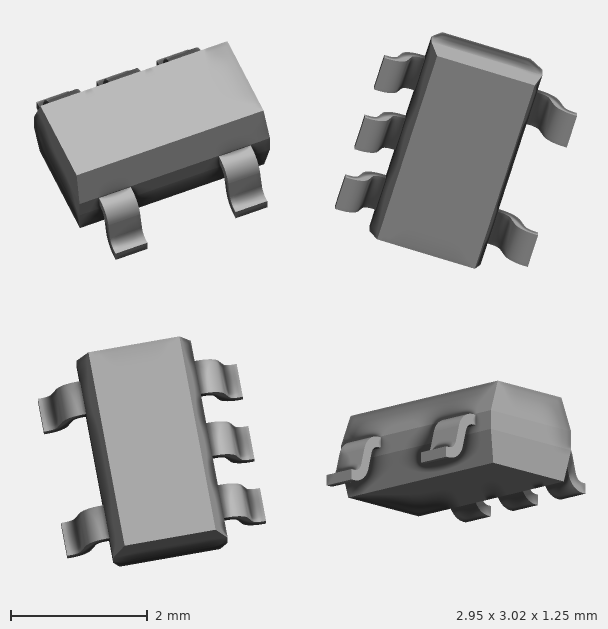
import cadquery as cq
import math

body_length = 3.02
body_width = 1.7
body_height = 1.25
base_height = 0.483
cap_height = 0.483
waist_height = body_height - base_height - cap_height
cap_inset_x = 0.175
cap_inset_y = 0.027
base_inset_x = 0.103
base_inset_y = 0.048

marker_diameter = 0.085
marker_depth = 0.03
marker_x = -0.47

overall_span = 2.95
lead_pitch = 0.95
lead_width = 0.505
lead_thickness = 0.157
lead_top = 0.752
inner_radius = 0.15
outer_radius = inner_radius + lead_thickness
bend_angle = 75.0
lead_places = [(-1, -1), (-1, 0), (-1, 1), (1, -1), (1, 1)]

lead_reach = (overall_span - body_width) / 2
lead_drop = lead_top - lead_thickness
middle_radius = (inner_radius + outer_radius) / 2
bend = math.radians(bend_angle)
bend_run = middle_radius * math.sin(bend)
bend_drop = middle_radius * (1 - math.cos(bend))
leg_drop = lead_drop - 2 * bend_drop
leg_run = leg_drop / math.tan(bend)
flat_length = (lead_reach - leg_run - 2 * bend_run) / 2


def tapered_block(z_start, height, start_size, end_size):
    """Solid that runs from one centred rectangle to another above it."""
    return (
        cq.Workplane("XY", origin=(0, 0, z_start))
        .rect(*start_size)
        .workplane(offset=height)
        .rect(*end_size)
        .loft(ruled=True)
    )


def make_marker():
    return (
        cq.Workplane("XY", origin=(marker_x, lead_pitch, body_height - marker_depth))
        .circle(marker_diameter / 2)
        .extrude(marker_depth)
    )


def make_housing():
    waist_size = (body_width, body_length)
    base_size = (body_width - 2 * base_inset_x, body_length - 2 * base_inset_y)
    cap_size = (body_width - 2 * cap_inset_x, body_length - 2 * cap_inset_y)
    base = tapered_block(0, base_height, base_size, waist_size)
    waist = tapered_block(base_height, waist_height, waist_size, waist_size)
    cap = tapered_block(base_height + waist_height, cap_height, waist_size, cap_size)
    return base.union(waist).union(cap).cut(make_marker())


def arc_point(center, radius, angle):
    return (center[0] + radius * math.sin(angle), center[1] + radius * math.cos(angle))


def make_lead(side, row):
    """S-shaped strip standing on z = 0; side is +1 or -1 along X."""
    wall_x = body_width / 2
    toe_x = overall_span / 2
    shoulder = (wall_x + flat_length, lead_top - outer_radius)
    foot = (toe_x - flat_length, outer_radius)
    turn_back = math.pi

    profile = (
        cq.Workplane("XZ", origin=(0, row * lead_pitch + lead_width / 2, 0))
        .moveTo(wall_x, lead_top)
        .lineTo(shoulder[0], lead_top)
        .threePointArc(arc_point(shoulder, outer_radius, bend / 2), arc_point(shoulder, outer_radius, bend))
        .lineTo(*arc_point(foot, inner_radius, bend + turn_back))
        .threePointArc(arc_point(foot, inner_radius, bend / 2 + turn_back), (foot[0], lead_thickness))
        .lineTo(toe_x, lead_thickness)
        .lineTo(toe_x, 0)
        .lineTo(foot[0], 0)
        .threePointArc(
            arc_point(foot, outer_radius, bend / 2 + turn_back),
            arc_point(foot, outer_radius, bend + turn_back),
        )
        .lineTo(*arc_point(shoulder, inner_radius, bend))
        .threePointArc(
            arc_point(shoulder, inner_radius, bend / 2),
            (shoulder[0], lead_top - lead_thickness),
        )
        .lineTo(wall_x, lead_top - lead_thickness)
        .close()
    )
    lead = profile.extrude(lead_width)
    if side < 0:
        lead = lead.mirror("YZ")
    return lead


housing = make_housing()
marker = make_marker()
leads = [make_lead(side, row) for side, row in lead_places]

result = cq.Compound.makeCompound([housing.val(), marker.val(), *[lead.val() for lead in leads]])